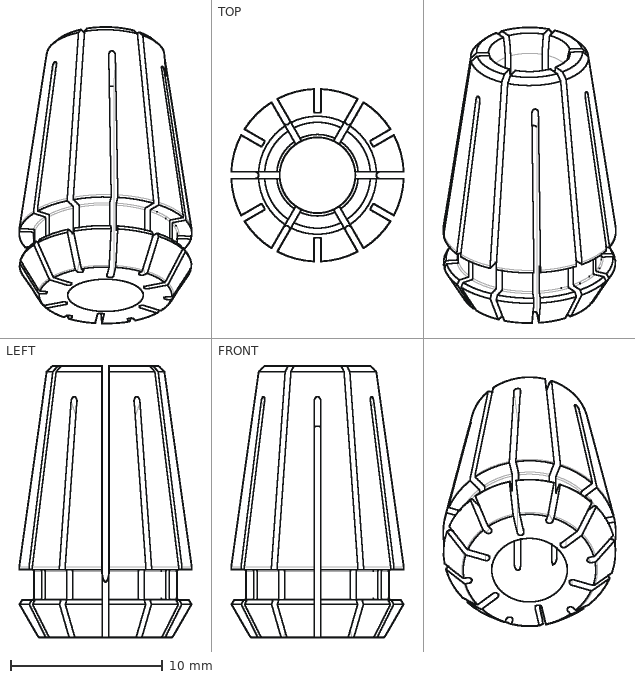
import cadquery as cq
import math

HEIGHT = 18.0
BODY_RADIUS = 5.72
BORE_RADIUS = 2.5

TAPER_ANGLE = 8.0
TAPER_BOTTOM_Z = 4.7
NOSE_CHAMFER = 0.4
NOSE_Z = HEIGHT - NOSE_CHAMFER
NOSE_RADIUS = BODY_RADIUS - (NOSE_Z - TAPER_BOTTOM_Z) * math.tan(math.radians(TAPER_ANGLE))

GROOVE_RADIUS = 4.75
GROOVE_BOTTOM_Z = 2.5
GROOVE_TOP_Z = 4.5
GROOVE_FILLET = 0.1

FLANGE_RADIUS = 5.7
FLANGE_WIDEST_Z = 2.2
FLANGE_ANGLE = 30.0
FLANGE_SLOPE = math.tan(math.radians(FLANGE_ANGLE))
BOTTOM_CHAMFER = 0.1

FLARE_RADIUS = 5.0
FLARE_DEPTH = 1.4

SLOT_WIDTH = 0.44
SLOTS_PER_SET = 6
SLOT_PITCH = 360.0 / SLOTS_PER_SET
CUT_LENGTH = 3 * HEIGHT
CUT_DEPTH = 2 * HEIGHT

NOSE_SLOT_BORE_Z = 3.7
NOSE_SLOT_BOTTOM_RADIUS = 3.9

BOTTOM_SLOT_FLOOR_RADIUS = 2.8
BOTTOM_SLOT_BEND_Z = 14.0
BOTTOM_SLOT_END_RADIUS = 4.17
BOTTOM_SLOT_END_Z = 16.0


def collet_body():
    """Revolve the half section of the collet around Z."""
    flange_bottom_radius = FLANGE_RADIUS - (FLANGE_WIDEST_Z - BOTTOM_CHAMFER) * FLANGE_SLOPE
    flange_top_radius = FLANGE_RADIUS - (GROOVE_BOTTOM_Z - FLANGE_WIDEST_Z) * FLANGE_SLOPE
    fillet_edge_radius = GROOVE_RADIUS + GROOVE_FILLET
    fillet_inset = GROOVE_FILLET * (1 - math.sqrt(0.5))
    flare_angle = math.asin(FLARE_DEPTH / FLARE_RADIUS)
    mouth_radius = BORE_RADIUS + FLARE_RADIUS * (1 - math.cos(flare_angle))
    flare_start_z = HEIGHT - FLARE_DEPTH
    flare_middle = (
        BORE_RADIUS + FLARE_RADIUS * (1 - math.cos(flare_angle / 2)),
        flare_start_z + FLARE_RADIUS * math.sin(flare_angle / 2),
    )
    section = (
        cq.Workplane("XZ")
        .moveTo(BORE_RADIUS, 0)
        .lineTo(flange_bottom_radius - BOTTOM_CHAMFER, 0)
        .lineTo(flange_bottom_radius, BOTTOM_CHAMFER)
        .lineTo(FLANGE_RADIUS, FLANGE_WIDEST_Z)
        .lineTo(flange_top_radius, GROOVE_BOTTOM_Z)
        .lineTo(fillet_edge_radius, GROOVE_BOTTOM_Z)
        .threePointArc(
            (GROOVE_RADIUS + fillet_inset, GROOVE_BOTTOM_Z + fillet_inset),
            (GROOVE_RADIUS, GROOVE_BOTTOM_Z + GROOVE_FILLET),
        )
        .lineTo(GROOVE_RADIUS, GROOVE_TOP_Z - GROOVE_FILLET)
        .threePointArc(
            (GROOVE_RADIUS + fillet_inset, GROOVE_TOP_Z - fillet_inset),
            (fillet_edge_radius, GROOVE_TOP_Z),
        )
        .lineTo(BODY_RADIUS, GROOVE_TOP_Z)
        .lineTo(BODY_RADIUS, TAPER_BOTTOM_Z)
        .lineTo(NOSE_RADIUS, NOSE_Z)
        .lineTo(NOSE_RADIUS - NOSE_CHAMFER, HEIGHT)
        .lineTo(mouth_radius, HEIGHT)
        .threePointArc(flare_middle, (BORE_RADIUS, flare_start_z))
        .close()
    )
    return section.revolve(360, (0, 0, 0), (0, 1, 0))


def round_floor_cut(radius, z, lean):
    """Slot cutter opening toward +X whose round floor runs through (radius, z).

    The floor leans from the Z axis toward +X by `lean` degrees.
    """
    floor_radius = SLOT_WIDTH / 2
    floor = cq.Workplane("XY").center(floor_radius, 0).circle(floor_radius).extrude(CUT_LENGTH)
    opening = (
        cq.Workplane("XY")
        .center(floor_radius + CUT_DEPTH / 2, 0)
        .rect(CUT_DEPTH, SLOT_WIDTH)
        .extrude(CUT_LENGTH)
    )
    cutter = floor.union(opening).translate((0, 0, -CUT_LENGTH / 2))
    return cutter.rotate((0, 0, 0), (0, 1, 0), lean).translate((radius, 0, z))


def nose_slot():
    """Slot open at the nose, with one straight sloping floor."""
    lean = math.degrees(math.atan2(BORE_RADIUS - NOSE_SLOT_BOTTOM_RADIUS, NOSE_SLOT_BORE_Z))
    return round_floor_cut(NOSE_SLOT_BOTTOM_RADIUS, 0, lean)


def bottom_slot():
    """Slot open at the bottom that runs out on the taper below the nose."""
    rise = BOTTOM_SLOT_END_Z - BOTTOM_SLOT_BEND_Z
    run = BOTTOM_SLOT_END_RADIUS - BOTTOM_SLOT_FLOOR_RADIUS
    lean = math.degrees(math.atan2(run, rise))
    upright = round_floor_cut(BOTTOM_SLOT_FLOOR_RADIUS, BOTTOM_SLOT_BEND_Z, 0)
    sloping = round_floor_cut(BOTTOM_SLOT_FLOOR_RADIUS, BOTTOM_SLOT_BEND_Z, lean)
    return upright.intersect(sloping)


def cut_ring(part, cutter, start_angle):
    """Cut one set of evenly spaced slots, the first at `start_angle`."""
    for index in range(SLOTS_PER_SET):
        angle = start_angle + index * SLOT_PITCH
        part = part.cut(cutter.rotate((0, 0, 0), (0, 0, 1), angle))
    return part


result = collet_body()
result = cut_ring(result, nose_slot(), 0)
result = cut_ring(result, bottom_slot(), SLOT_PITCH / 2)